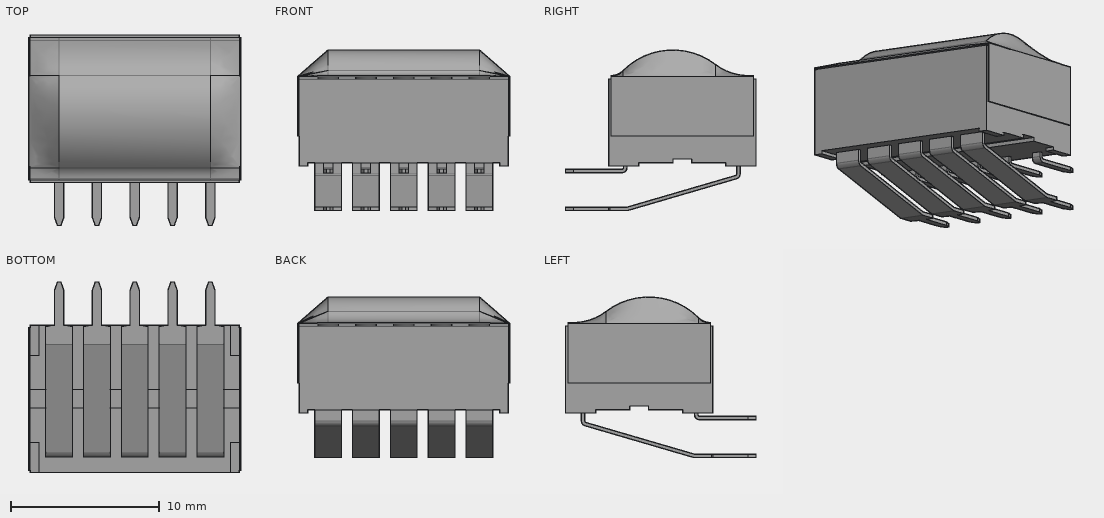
import cadquery as cq
import math

overall_length = 14.26
overall_height = 10.8
overall_depth = 12.8

skirt_thickness = 0.1
body_length = overall_length - 2 * skirt_thickness
body_depth = 9.91
body_bottom = 3.0
body_top = 8.84
foot_length = 0.6
foot_depth = 2.04
foot_height = 0.21
slot_width = 1.24
slot_height = 0.47
body_front = -body_depth / 2
body_back = body_depth / 2

cover_depth = 9.6
cover_underside = 8.97
end_edge_height = 9.01
rim_height = 9.08
skirt_bottom = 5.0
dome_length = 10.18
dome_radius = 4.7
dome_center = -0.64
front_crease = -3.98
back_crease = 2.22
front_rim_edge = -4.68
back_rim_edge = 4.58

pin_count = 5
pin_pitch = 2.54
pin_thickness = 0.24
pin_width = 0.64
tip_width = 0.24
tip_length = 0.55
tip_end = body_back - overall_depth
inner_bend = 0.11
front_pin_inset = 1.13
front_pin_bottom = 2.54
strap_width = 1.81
strap_inset = 1.18
strap_bend_height = 2.3
strap_knee = -3.68
shoulder_start = -4.85
shoulder_end = -4.96
pin_anchor = 0.43
post_diameter = 1.4

pin_positions = [(i - (pin_count - 1) / 2) * pin_pitch for i in range(pin_count)]


def block(length, y_range, z_range, x_center=0.0):
    """Box centred on x_center and spanning the given Y and Z ranges."""
    size_y = y_range[1] - y_range[0]
    size_z = z_range[1] - z_range[0]
    corner = (x_center - length / 2, y_range[0], z_range[0])
    return cq.Workplane("XY").box(length, size_y, size_z, centered=False).translate(corner)


def make_body():
    """Block standing on four corner feet, with a slot along X underneath."""
    body = block(body_length, (body_front, body_back), (body_bottom, body_top))
    foot_top = body_bottom + foot_height
    between_feet_x = block(
        body_length - 2 * foot_length, (body_front, body_back), (body_bottom, foot_top)
    )
    half_gap = body_depth / 2 - foot_depth
    between_feet_y = block(body_length, (-half_gap, half_gap), (body_bottom, foot_top))
    slot = block(
        body_length, (-slot_width / 2, slot_width / 2), (body_bottom, body_bottom + slot_height)
    )
    return body.cut(between_feet_x).cut(between_feet_y).cut(slot)


def dome_height(y):
    """Height of the main dome arc at a given Y."""
    drop = dome_radius - math.sqrt(dome_radius**2 - (y - dome_center) ** 2)
    return overall_height - drop


def blend_middle(crease, rim_edge):
    """Middle point of the hollow arc that leaves the dome tangentially and ends at the rim."""
    start_y, start_z = crease, dome_height(crease)
    out_y = (start_y - dome_center) / dome_radius
    out_z = (start_z - (overall_height - dome_radius)) / dome_radius
    chord_y, chord_z = rim_edge - start_y, rim_height - start_z
    radius = (chord_y**2 + chord_z**2) / (2 * (chord_y * out_y + chord_z * out_z))
    center_y, center_z = start_y + radius * out_y, start_z + radius * out_z
    toward_y = start_y + chord_y / 2 - center_y
    toward_z = start_z + chord_z / 2 - center_z
    stretch = radius / math.hypot(toward_y, toward_z)
    return center_y + stretch * toward_y, center_z + stretch * toward_z


def dome_section(x):
    """Full cover section across Y: flat rims, hollow blends and the dome."""
    front_middle = blend_middle(front_crease, front_rim_edge)
    back_middle = blend_middle(back_crease, back_rim_edge)
    half = cover_depth / 2
    return (
        cq.Workplane("YZ", origin=(x, 0, 0))
        .moveTo(-half, cover_underside)
        .lineTo(-half, rim_height)
        .lineTo(front_rim_edge, rim_height)
        .threePointArc(front_middle, (front_crease, dome_height(front_crease)))
        .threePointArc((dome_center, overall_height), (back_crease, dome_height(back_crease)))
        .threePointArc(back_middle, (back_rim_edge, rim_height))
        .lineTo(half, rim_height)
        .lineTo(half, cover_underside)
        .close()
    )


def end_section(x):
    """Thin cover edge, divided at the same places as the dome section."""
    half = cover_depth / 2
    divisions = [-half, front_rim_edge, front_crease, back_crease, back_rim_edge, half]
    edge_points = [(y, end_edge_height) for y in divisions]
    outline = [(-half, cover_underside)] + edge_points + [(half, cover_underside)]
    return cq.Workplane("YZ", origin=(x, 0, 0)).polyline(outline).close()


def sloped_end(side, reach):
    """Ruled slope from one end of the dome down to a thin edge at X = side * reach."""
    inner_wire = dome_section(side * dome_length / 2).val()
    outer_wire = end_section(side * reach).val()
    return cq.Workplane(cq.Solid.makeLoft([inner_wire, outer_wire], True))


def make_cover():
    """Dome with ends sloping to thin edges, and a skirt down each X side."""
    cover = dome_section(-dome_length / 2).extrude(dome_length)
    between_creases = block(overall_length, (front_crease, back_crease), (0, overall_height))
    for side in (-1, 1):
        middle = sloped_end(side, overall_length / 2).intersect(between_creases)
        corners = sloped_end(side, body_length / 2).cut(between_creases)
        skirt = block(
            skirt_thickness,
            (-cover_depth / 2, cover_depth / 2),
            (skirt_bottom, end_edge_height),
            side * (overall_length - skirt_thickness) / 2,
        )
        cover = cover.union(middle).union(corners).union(skirt)
    return cover


def make_post(x):
    """Round post between the body and the cover."""
    height = rim_height - body_top
    return cq.Workplane("XY", origin=(x, 0, body_top)).circle(post_diameter / 2).extrude(height)


def bent_strip(x, width, path):
    """Strip of constant thickness along a (Y, Z) centre path, rounded at its first bend."""
    half = pin_thickness / 2
    headings = [math.atan2(q[1] - p[1], q[0] - p[0]) for p, q in zip(path, path[1:])]
    incoming = [headings[0]] + headings
    outgoing = headings + [headings[-1]]
    left, right = [], []
    for (y, z), a, b in zip(path, incoming, outgoing):
        normal = (a + b + math.pi) / 2
        reach = half / math.cos((b - a) / 2)
        offset = (reach * math.cos(normal), reach * math.sin(normal))
        left.append((y + offset[0], z + offset[1]))
        right.append((y - offset[0], z - offset[1]))
    strip = (
        cq.Workplane("YZ", origin=(x - width / 2, 0, 0))
        .polyline(left + right[::-1])
        .close()
        .extrude(width)
    )
    outer_bend = inner_bend + pin_thickness
    for corner, radius in ((right[1], inner_bend), (left[1], outer_bend)):
        edge = cq.selectors.NearestToPointSelector((x, *corner))
        strip = strip.edges(edge).fillet(radius)
    return strip


def pin_plan(x, width):
    """Upright prism in the plan shape of a pin: full width behind the shoulder, then narrow."""
    outline = [
        (width / 2, body_back),
        (width / 2, shoulder_start),
        (pin_width / 2, shoulder_end),
        (pin_width / 2, tip_end + tip_length),
        (tip_width / 2, tip_end),
    ]
    mirrored = [(-px, py) for px, py in reversed(outline)]
    plan = cq.Workplane("XY").polyline(outline + mirrored).close()
    return plan.extrude(body_top).translate((x, 0, 0))


def make_front_pin(x):
    """Narrow pin: down from the body, then level to the tip."""
    leg = body_front + front_pin_inset
    level = front_pin_bottom + pin_thickness / 2
    path = [(leg, body_bottom + pin_anchor), (leg, level), (tip_end, level)]
    return bent_strip(x, pin_width, path).intersect(pin_plan(x, pin_width))


def make_strap_pin(x):
    """Wide strap: down from the body, sloping forward, then level and narrowing to a pin."""
    leg = body_back - strap_inset
    level = pin_thickness / 2
    path = [
        (leg, body_bottom + pin_anchor),
        (leg, strap_bend_height),
        (strap_knee, level),
        (tip_end, level),
    ]
    return bent_strip(x, strap_width, path).intersect(pin_plan(x, strap_width))


result = make_body().union(make_cover())
for pin_x in pin_positions:
    result = result.union(make_post(pin_x))
    result = result.union(make_front_pin(pin_x))
    result = result.union(make_strap_pin(pin_x))